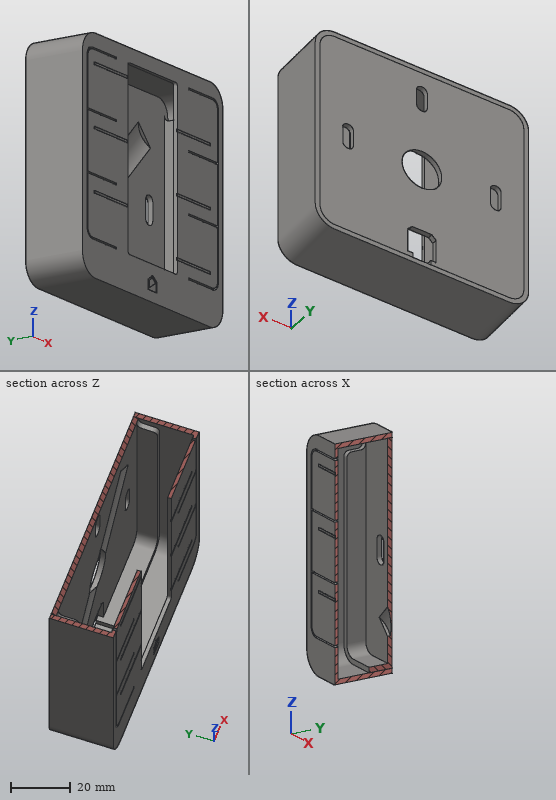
import cadquery as cq
import math

SIDE = 86.5
DEPTH = 23.1
FRONT_Y = -DEPTH / 2
BACK_Y = DEPTH / 2
CORNER_RADIUS = 8.0

COVER_WALL = 2.0
PLATE_THICKNESS = 1.5

WINDOW_WIDTH = 30.3
WINDOW_TOP = 37.9
WINDOW_BOTTOM = -29.75
WINDOW_CORNER_RADIUS = 0.995

EDGE_SLOT_WIDTH = 0.6
EDGE_SLOT_X = 40.1
EDGE_SLOT_RADIUS = 3.1
EDGE_SLOT_END_X = 22.3
BRANCH_SLOT_HEIGHTS = [15.5, -6.8]

INLAY_DEPTH = 0.35
BAR_WIDTH = 0.9
BAR_END_X = 35.6
BAR_PITCH = 22.7
BARS_PER_SIDE = 3
FIRST_BAR_TOP = 32.95

HOUSE_WIDTH = 5.0
HOUSE_PEAK_Z = -33.65
HOUSE_EAVES_Z = -35.5
HOUSE_FLOOR_Z = -39.2
HOUSE_OPENING_WIDTH = 4.15
HOUSE_OPENING_PEAK_Z = -34.4
HOUSE_OPENING_EAVES_Z = -35.9
HOUSE_OPENING_FLOOR_Z = -38.5

PANEL_THICKNESS = 2.0
PANEL_FACE_Y = BACK_Y - PANEL_THICKNESS
RIM_THICKNESS = 2.0
RIM_HEIGHT = 7.5
RIM_FRONT_Y = PANEL_FACE_Y - RIM_HEIGHT

RIM_END_RADIUS = 2.0
RIM_END_Z = 33.5

CABLE_HOLE_DIAMETER = 16.0
CABLE_HOLE_Z = -1.1
CHANNEL_WIDTH = 10.55
CHANNEL_SAG = 1.3
CHANNEL_HALF_LENGTH = 38.1
SCREW_SLOT_WIDTH = 4.3
SCREW_SLOT_LENGTH = 10.6
SCREW_SLOT_OFFSET = 29.9
NOTCH_TOP = -27.85
NOTCH_TOP_WIDTH = 8.0
NOTCH_CHAMFER = 1.7

RIM_OPENING_WIDTH = 7.3
RIM_OPENING_FRONT_Y = 4.8


def rounded_block(side, radius, front_y, back_y):
    """Square block with rounded corners, from front_y to back_y."""
    return (
        cq.Workplane("XZ", origin=(0, back_y, 0))
        .rect(side, side)
        .extrude(back_y - front_y)
        .edges("|Y")
        .fillet(radius)
    )


def box_between(x0, x1, y0, y1, z0, z1):
    """Box given by its limits on the three axes."""
    return cq.Workplane("XY").box(x1 - x0, y1 - y0, z1 - z0, centered=False).translate((x0, y0, z0))


def plate_cut(x0, x1, z0, z1):
    """Rectangular cutter through the front plate."""
    return box_between(x0, x1, FRONT_Y, FRONT_Y + PLATE_THICKNESS, z0, z1)


def edge_slot_cutter():
    """Left and right edge slots: a rounded frame without its middle, plus the branches."""
    half_width = EDGE_SLOT_X + EDGE_SLOT_WIDTH / 2
    outer = plate_cut(-half_width, half_width, WINDOW_BOTTOM, WINDOW_TOP)
    inner = plate_cut(
        -half_width + EDGE_SLOT_WIDTH,
        half_width - EDGE_SLOT_WIDTH,
        WINDOW_BOTTOM + EDGE_SLOT_WIDTH,
        WINDOW_TOP - EDGE_SLOT_WIDTH,
    )
    outer = outer.edges("|Y").fillet(EDGE_SLOT_RADIUS + EDGE_SLOT_WIDTH / 2)
    inner = inner.edges("|Y").fillet(EDGE_SLOT_RADIUS - EDGE_SLOT_WIDTH / 2)
    slots = outer.cut(inner)
    for middle_z in BRANCH_SLOT_HEIGHTS:
        z0 = middle_z - EDGE_SLOT_WIDTH / 2
        slots = slots.union(plate_cut(-EDGE_SLOT_X, EDGE_SLOT_X, z0, z0 + EDGE_SLOT_WIDTH))
    return slots.cut(plate_cut(-EDGE_SLOT_END_X, EDGE_SLOT_END_X, WINDOW_BOTTOM, WINDOW_TOP))


def make_bar(x0, x1, top_z):
    """One inlaid bar."""
    return box_between(x0, x1, FRONT_Y, FRONT_Y + INLAY_DEPTH, top_z - BAR_WIDTH, top_z)


def make_bars():
    """Bars on both sides of the window; the right-hand ones sit half a pitch lower."""
    bars = []
    for i in range(BARS_PER_SIDE):
        left_top = FIRST_BAR_TOP - i * BAR_PITCH
        right_top = left_top - BAR_PITCH / 2
        bars.append(make_bar(-BAR_END_X, -WINDOW_WIDTH / 2, left_top))
        bars.append(make_bar(WINDOW_WIDTH / 2, BAR_END_X, right_top))
    return bars


def make_house():
    """House outline whose opening is closed off below by a sloping edge."""
    face = cq.Workplane("XZ", origin=(0, FRONT_Y + INLAY_DEPTH, 0))
    half = HOUSE_WIDTH / 2
    outline = [
        (-half, HOUSE_FLOOR_Z),
        (half, HOUSE_FLOOR_Z),
        (half, HOUSE_EAVES_Z),
        (0, HOUSE_PEAK_Z),
        (-half, HOUSE_EAVES_Z),
    ]
    opening_half = HOUSE_OPENING_WIDTH / 2
    opening = [
        (-opening_half, HOUSE_OPENING_FLOOR_Z),
        (opening_half, HOUSE_OPENING_EAVES_Z),
        (0, HOUSE_OPENING_PEAK_Z),
        (-opening_half, HOUSE_OPENING_EAVES_Z),
    ]
    house = face.polyline(outline).close().extrude(INLAY_DEPTH)
    return house.cut(face.polyline(opening).close().extrude(INLAY_DEPTH))


def make_cover(inlays):
    """Cover with a recess for each inlay."""
    inner_side = SIDE - 2 * COVER_WALL
    inner_radius = CORNER_RADIUS - COVER_WALL
    cover = rounded_block(SIDE, CORNER_RADIUS, FRONT_Y, BACK_Y)
    cover = cover.cut(rounded_block(inner_side, inner_radius, FRONT_Y + PLATE_THICKNESS, BACK_Y))

    window = plate_cut(-WINDOW_WIDTH / 2, WINDOW_WIDTH / 2, WINDOW_BOTTOM, WINDOW_TOP)
    cover = cover.cut(window.edges("|Y").fillet(WINDOW_CORNER_RADIUS))
    cover = cover.cut(edge_slot_cutter())
    for inlay in inlays:
        cover = cover.cut(inlay)
    return cover


def rim_end_cutter():
    """Space above the ends of the rim: convex arc, flat ledge, then a concave arc to the panel."""
    r = RIM_END_RADIUS
    diagonal = r * math.sqrt(0.5)
    ledge_front_y = RIM_FRONT_Y + r
    ledge_back_y = PANEL_FACE_Y - r
    convex_middle = (ledge_front_y - diagonal, RIM_END_Z - r + diagonal)
    concave_middle = (ledge_back_y + diagonal, RIM_END_Z + r - diagonal)
    return (
        cq.Workplane("YZ", origin=(-SIDE / 2, 0, 0))
        .moveTo(RIM_FRONT_Y, RIM_END_Z - r)
        .threePointArc(convex_middle, (ledge_front_y, RIM_END_Z))
        .lineTo(ledge_back_y, RIM_END_Z)
        .threePointArc(concave_middle, (PANEL_FACE_Y, RIM_END_Z + r))
        .lineTo(PANEL_FACE_Y, SIDE / 2)
        .lineTo(RIM_FRONT_Y, SIDE / 2)
        .close()
        .extrude(SIDE)
    )


def channel_cutter():
    """Shallow round channel, diagonal across the panel through the cable hole."""
    radius = (CHANNEL_WIDTH**2 / 4 + CHANNEL_SAG**2) / (2 * CHANNEL_SAG)
    axis_y = PANEL_FACE_Y + CHANNEL_SAG - radius
    return (
        cq.Workplane("XY")
        .circle(radius)
        .extrude(2 * CHANNEL_HALF_LENGTH)
        .translate((0, 0, -CHANNEL_HALF_LENGTH))
        .rotate((0, 0, 0), (0, 1, 0), 45)
        .translate((0, axis_y, CABLE_HOLE_Z))
    )


def make_base():
    """Back panel and rim with all their openings."""
    outer_side = SIDE - 2 * COVER_WALL
    outer_radius = CORNER_RADIUS - COVER_WALL
    inner_side = outer_side - 2 * RIM_THICKNESS
    inner_radius = outer_radius - RIM_THICKNESS
    tray_space = rounded_block(inner_side, inner_radius, RIM_FRONT_Y, PANEL_FACE_Y)
    base = rounded_block(outer_side, outer_radius, RIM_FRONT_Y, BACK_Y)
    base = base.cut(tray_space).cut(rim_end_cutter())

    base = base.cut(channel_cutter())

    panel_back = cq.Workplane("XZ", origin=(0, BACK_Y, 0))
    base = base.cut(panel_back.center(0, CABLE_HOLE_Z).circle(CABLE_HOLE_DIAMETER / 2).extrude(PANEL_THICKNESS))

    slot_places = [(-SCREW_SLOT_OFFSET, 0), (SCREW_SLOT_OFFSET, 0), (0, SCREW_SLOT_OFFSET)]
    screw_slots = panel_back.pushPoints(slot_places).slot2D(SCREW_SLOT_LENGTH, SCREW_SLOT_WIDTH, 90)
    base = base.cut(screw_slots.extrude(PANEL_THICKNESS))

    half_top = NOTCH_TOP_WIDTH / 2
    half_wide = half_top + NOTCH_CHAMFER
    shoulder_z = NOTCH_TOP - NOTCH_CHAMFER
    notch_outline = [
        (-half_top, NOTCH_TOP),
        (half_top, NOTCH_TOP),
        (half_wide, shoulder_z),
        (half_wide, -inner_side / 2),
        (-half_wide, -inner_side / 2),
        (-half_wide, shoulder_z),
    ]
    base = base.cut(panel_back.polyline(notch_outline).close().extrude(PANEL_THICKNESS))

    half_opening = RIM_OPENING_WIDTH / 2
    rim_opening = box_between(
        -half_opening,
        half_opening,
        RIM_OPENING_FRONT_Y,
        BACK_Y,
        -outer_side / 2,
        -inner_side / 2,
    )
    return base.cut(rim_opening)


bars = make_bars()
house = make_house()
cover = make_cover([*bars, house])
base = make_base()

result = cq.Compound.makeCompound([cover.val(), base.val(), *[bar.val() for bar in bars], house.val()])